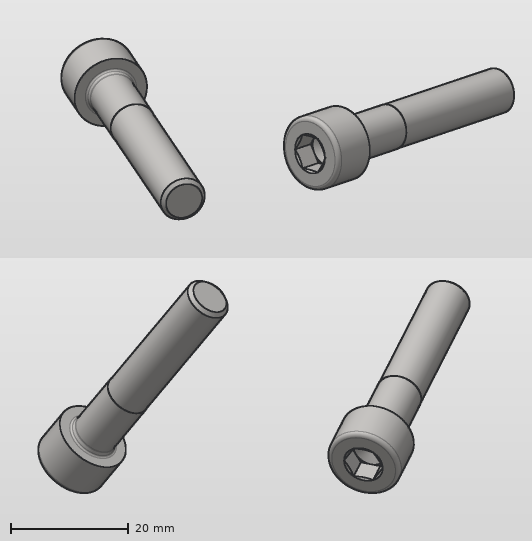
import cadquery as cq
import math

shank_diameter = 8.0
thread_diameter = 7.9
screw_length = 40.0
thread_length = 28.0
tip_diameter = 6.466

head_diameter = 13.0
head_height = 8.0
head_edge_radius = 0.8

neck_diameter = 9.2
neck_length = 1.02
neck_fillet_radius = 0.4

socket_sides = 6
socket_across_flats = 6.0
socket_depth = 4.0
socket_cone_angle = 120.0

head_radius = head_diameter / 2
neck_radius = neck_diameter / 2
shank_radius = shank_diameter / 2
thread_radius = thread_diameter / 2
tip_radius = tip_diameter / 2
tip_chamfer = thread_radius - tip_radius
thread_start = screw_length - thread_length
socket_across_corners = socket_across_flats / math.cos(math.pi / socket_sides)

head_fillet_center = (neck_fillet_radius, neck_radius)
shank_fillet_center = (neck_length, shank_radius + neck_fillet_radius)
neck_slope = math.atan2(
    head_fillet_center[1] - shank_fillet_center[1],
    shank_fillet_center[0] - head_fillet_center[0],
)


def fillet_tangent_point(center):
    """Point where the neck cone touches the fillet with the given centre."""
    x = center[0] - neck_fillet_radius * math.sin(neck_slope)
    radius = center[1] - neck_fillet_radius * math.cos(neck_slope)
    return (x, radius)


def revolve_about_x(profile):
    return profile.revolve(360, (0, 0, 0), (1, 0, 0))


def make_body():
    """Head, neck, shank, thread and tip chamfer, with the outer head edge rounded."""
    profile = (
        cq.Workplane("XZ")
        .moveTo(-head_height, 0)
        .lineTo(-head_height, head_radius)
        .lineTo(0, head_radius)
        .lineTo(0, neck_radius)
        .radiusArc(fillet_tangent_point(head_fillet_center), -neck_fillet_radius)
        .lineTo(*fillet_tangent_point(shank_fillet_center))
        .radiusArc((neck_length, shank_radius), -neck_fillet_radius)
        .lineTo(thread_start, shank_radius)
        .lineTo(thread_start, thread_radius)
        .lineTo(screw_length - tip_chamfer, thread_radius)
        .lineTo(screw_length, tip_radius)
        .lineTo(screw_length, 0)
        .close()
    )
    return revolve_about_x(profile).faces("<X").edges().fillet(head_edge_radius)


def make_socket_cone(base_radius, base_x):
    """Cone about X with its base at base_x and its point toward +X."""
    height = base_radius / math.tan(math.radians(socket_cone_angle / 2))
    corners = [(base_x, 0), (base_x, base_radius), (base_x + height, 0)]
    return revolve_about_x(cq.Workplane("XZ").polyline(corners).close())


def make_socket():
    """Hexagonal recess with two flats facing +Z and -Z, a conical mouth and a drill point."""
    hexagon = (
        cq.Workplane("YZ", origin=(-head_height, 0, 0))
        .polygon(socket_sides, socket_across_corners)
        .extrude(socket_depth)
    )
    mouth = make_socket_cone(socket_across_corners / 2, -head_height)
    drill_point = make_socket_cone(socket_across_flats / 2, socket_depth - head_height)
    return hexagon.union(mouth).union(drill_point)


result = make_body().cut(make_socket())